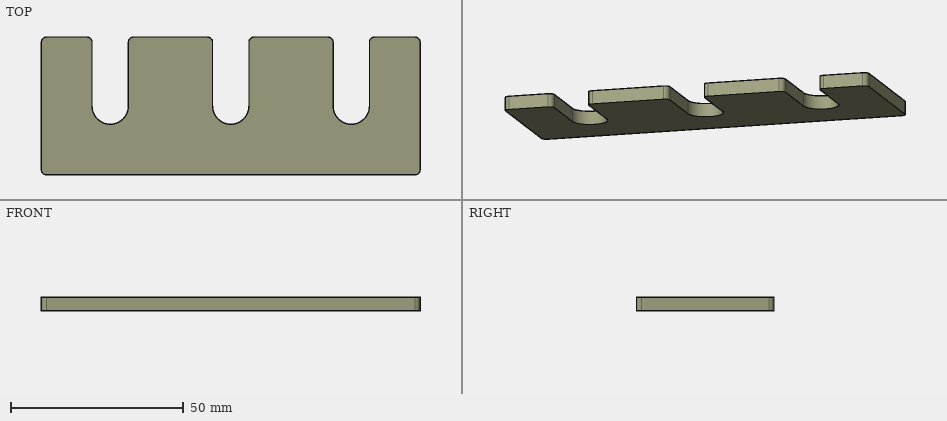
import cadquery as cq

length = 110.0
width = 40.0
thickness = 4.0
corner_radius = 1.5

slot_count = 3
slot_pitch = 35.0
slot_width = 10.5
slot_depth = 25.3

slot_radius = slot_width / 2
back_edge = width / 2
slot_center_y = back_edge - slot_depth + slot_radius


def slot_cutter(center_x):
    """Slot with a round inner end, open through the +Y edge."""
    return (
        cq.Workplane("XY")
        .moveTo(center_x - slot_radius, back_edge)
        .lineTo(center_x - slot_radius, slot_center_y)
        .threePointArc(
            (center_x, slot_center_y - slot_radius),
            (center_x + slot_radius, slot_center_y),
        )
        .lineTo(center_x + slot_radius, back_edge)
        .close()
        .extrude(thickness)
    )


plate = cq.Workplane("XY").box(length, width, thickness, centered=(True, True, False))
for index in range(slot_count):
    offset = index - (slot_count - 1) / 2
    plate = plate.cut(slot_cutter(offset * slot_pitch))

front_corners = plate.edges("|Z").edges("<Y")
back_corners = plate.edges("|Z").edges(">Y")
result = plate.newObject(front_corners.vals() + back_corners.vals()).fillet(corner_radius)